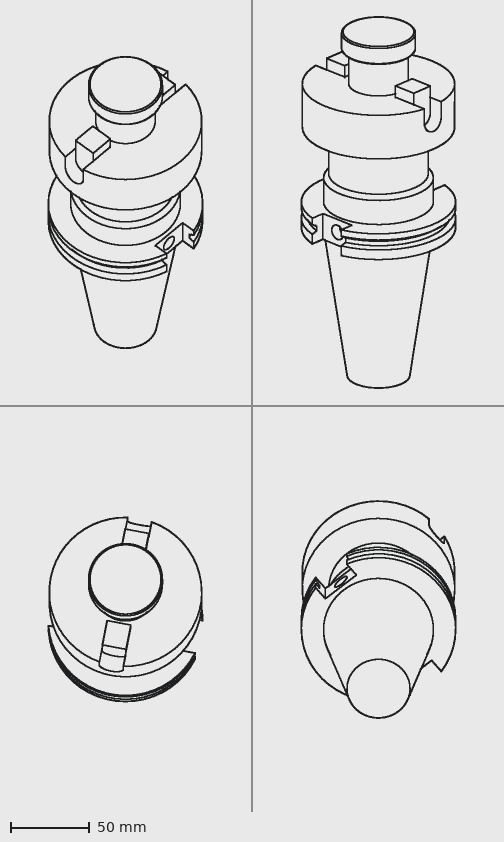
import cadquery as cq

taper_top = 101.6
flange_bottom = 103.0
flange_top = 121.0
shoulder_top = 140.7
shoulder_cone_bottom = 137.8
collar_bottom = 173.0
collar_top = 203.5
head_bottom = 227.3
head_top = 239.7

taper_small_dia = 40.0
shoulder_dia = 69.8
flange_dia = 98.0
neck_dia = 63.3
collar_dia = 96.8
spigot_dia = 37.9
head_dia = 47.0

head_chamfer = 1.0

groove_top = 116.7
groove_bottom = 109.8
groove_floor_dia = 90.4
groove_upper_slope = 2.6
groove_lower_slope = 1.2

notch_width = 25.5
notch_floor_x = 37.6
notch_hole_dia = 9.8
notch_hole_depth = 7.2

key_width = 15.3
key_inner_y = 22.3
key_outer_y = 38.4
key_top = 211.5
key_bottom = 185.5


def make_turned_body():
    """Revolve the tapered shank, flange, neck, collar and spigot about Z."""
    shoulder_radius = shoulder_dia / 2
    flange_radius = flange_dia / 2
    groove_radius = groove_floor_dia / 2
    neck_radius = neck_dia / 2
    collar_radius = collar_dia / 2
    spigot_radius = spigot_dia / 2
    profile = [
        (0, 0),
        (taper_small_dia / 2, 0),
        (shoulder_radius, taper_top),
        (shoulder_radius, flange_bottom),
        (flange_radius, flange_bottom),
        (flange_radius, groove_bottom),
        (groove_radius, groove_bottom + groove_lower_slope),
        (groove_radius, groove_top - groove_upper_slope),
        (flange_radius, groove_top),
        (flange_radius, flange_top),
        (shoulder_radius, flange_top),
        (shoulder_radius, shoulder_cone_bottom),
        (neck_radius, shoulder_top),
        (neck_radius, collar_bottom),
        (collar_radius, collar_bottom),
        (collar_radius, collar_top),
        (spigot_radius, collar_top),
        (spigot_radius, head_bottom),
        (0, head_bottom),
    ]
    return cq.Workplane("XZ").polyline(profile).close().revolve(360, (0, 0), (0, 1))


def make_notch(side):
    """Drive notch with a blind hole in its floor; side is +1 or -1 along X."""
    flange_height = flange_top - flange_bottom
    flange_middle = (flange_top + flange_bottom) / 2
    notch_depth = flange_dia / 2 - notch_floor_x
    notch = cq.Workplane("XY").box(notch_depth, notch_width, flange_height)
    notch = notch.translate((side * (notch_floor_x + notch_depth / 2), 0, flange_middle))
    hole = (
        cq.Workplane("YZ", origin=(side * notch_floor_x, 0, flange_middle))
        .circle(notch_hole_dia / 2)
        .extrude(-side * notch_hole_depth)
    )
    return notch.union(hole)


def make_round_bottom_bar(side, outer_y):
    """Bar with a half-round underside, from the inner key face out to outer_y."""
    half_width = key_width / 2
    arc_center_z = key_bottom + half_width
    return (
        cq.Workplane("XZ", origin=(0, side * key_inner_y, 0))
        .moveTo(-half_width, key_top)
        .lineTo(-half_width, arc_center_z)
        .threePointArc((0, key_bottom), (half_width, arc_center_z))
        .lineTo(half_width, key_top)
        .close()
        .extrude(-side * (outer_y - key_inner_y))
    )


def make_holder():
    """Tool holder with its drive notches and key slots."""
    body = make_turned_body()
    for side in (-1, 1):
        body = body.cut(make_notch(side))
        body = body.cut(make_round_bottom_bar(side, collar_dia / 2))
    return body


def make_key(side):
    """Drive key filling the inner part of its slot and standing above the collar."""
    return make_round_bottom_bar(side, key_outer_y)


def make_screw_head():
    """Retaining disc seated on the end of the spigot."""
    return (
        cq.Workplane("XY", origin=(0, 0, head_bottom))
        .circle(head_dia / 2)
        .extrude(head_top - head_bottom)
        .faces("<Z or >Z")
        .edges()
        .chamfer(head_chamfer)
    )


holder = make_holder()
keys = [make_key(side) for side in (-1, 1)]
screw_head = make_screw_head()

result = cq.Compound.makeCompound([holder.val(), *[key.val() for key in keys], screw_head.val()])